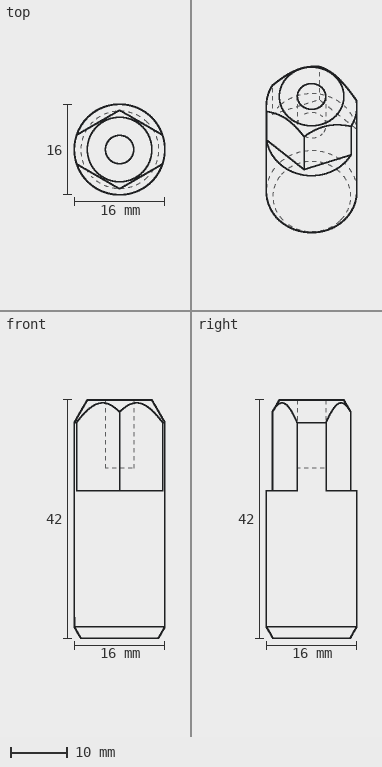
import cadquery as cq
import math

body_diameter = 16.0
total_length = 42.0
shoulder_height = 26.0
across_flats = 12.0
bottom_taper_height = 2.0
top_taper_height = 4.0
taper_angle = 30.0
hole_diameter = 5.0
hole_depth = 12.0
flat_angles = (60, 120, 240, 300)

body_radius = body_diameter / 2
taper_slope = math.tan(math.radians(taper_angle))
bottom_radius = body_radius - bottom_taper_height * taper_slope
top_radius = body_radius - top_taper_height * taper_slope
flat_length = total_length - shoulder_height


def tapered_pin():
    """Round pin with a conical taper at each end, revolved about Z."""
    profile = [
        (0, 0),
        (bottom_radius, 0),
        (body_radius, bottom_taper_height),
        (body_radius, total_length - top_taper_height),
        (top_radius, total_length),
        (0, total_length),
    ]
    return cq.Workplane("XZ").polyline(profile).close().revolve(360, (0, 0), (0, 1))


def flat_cutter(angle):
    """Block that removes everything beyond one wrench flat."""
    block = cq.Workplane("XY").box(
        body_radius, 2 * body_diameter, flat_length, centered=(False, True, False)
    )
    block = block.translate((across_flats / 2, 0, shoulder_height))
    return block.rotate((0, 0, 0), (0, 0, 1), angle)


def cut_flats(pin):
    """Cut four flats of a hexagon, leaving the +X and -X sides round."""
    for angle in flat_angles:
        pin = pin.cut(flat_cutter(angle))
    return pin


def cut_hole(pin):
    """Blind, flat-bottomed hole in the top face."""
    hole = cq.Workplane("XY", origin=(0, 0, total_length - hole_depth))
    return pin.cut(hole.circle(hole_diameter / 2).extrude(hole_depth))


result = cut_hole(cut_flats(tapered_pin()))